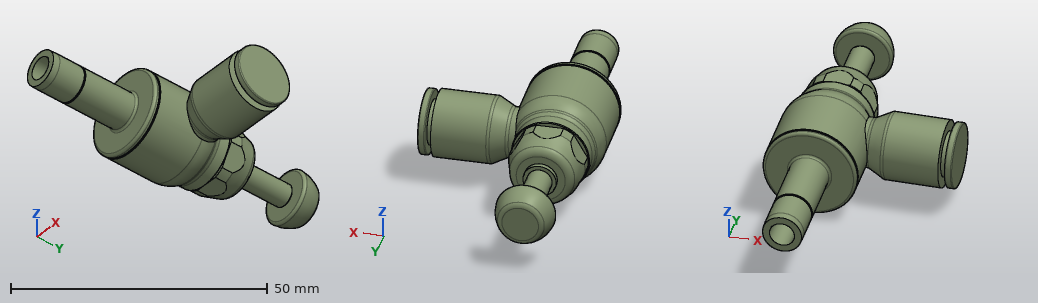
import cadquery as cq
import math


overall_width = 36.4

stem_radius = 4.0
tip_radius = 3.95
tip_length = 1.55
stem_groove_y = 7.95
groove_width = 0.3
groove_depth = 0.15
bore_radius = 2.5
drill_point_angle = 118

body_bottom_y = 21.35
body_diameter = 19.0
body_radius = body_diameter / 2
root_fillet = 0.5
rim_fillet = 0.6
rim_groove_y = 22.5
branch_y = 34.55
shoulder_radius = 7.15
shoulder_height = 3.7
shoulder_slope_length = 0.5
neck_radius = 7.8
neck_start_y = 39.65
neck_top_y = 42.1
neck_chamfer = 0.17

nut_bottom_y = 42.5
nut_top_y = 50.3
nut_diameter = 15.3
nut_radius = nut_diameter / 2
nut_across_flats = 14.3
nut_cone_start_y = 45.15
nut_cone_end_y = 49.1
nut_cone_end_radius = 6.5
nut_face_radius = 4.9
collar_radius = 3.3
collar_top_y = 51.35

rod_radius = 2.5
rod_chamfer = 0.3
knob_bottom_y = 62.6
knob_top_y = 68.0
knob_diameter = 12.05
knob_radius = knob_diameter / 2
knob_fillet = 0.6
knob_bulge_radius = 5.6
knob_bulge_y = 65.6
knob_crown_radius = 4.7
knob_crown_y = 67.4
knob_face_radius = 3.7

branch_neck_radius = 4.95
branch_neck_x = 9.05
branch_cone_start = (9.65, 5.2)
branch_cone_end = (12.5, 6.65)
branch_diameter = 13.5
branch_radius = branch_diameter / 2
branch_full_x = 13.1
branch_end_x = 24.2
sleeve_radius = 4.55
flange_start_x = 25.4
flange_end_x = overall_width - body_radius
flange_diameter = 13.1
flange_radius = flange_diameter / 2
flange_fillet = 0.2


def revolve_y(profile):
    """Close an (X = radius, Y) profile and turn it round the Y axis."""
    return profile.close().revolve(360, (0, 0, 0), (0, 1, 0))


def disc_y(radius, start_y, end_y):
    """Cylinder on the Y axis."""
    profile = (
        cq.Workplane("XY")
        .moveTo(0, start_y)
        .lineTo(radius, start_y)
        .lineTo(radius, end_y)
        .lineTo(0, end_y)
    )
    return revolve_y(profile)


def ring_groove(outer_radius, start_y):
    """Cutter for a shallow square groove round a cylinder on the Y axis."""
    end_y = start_y + groove_width
    core = disc_y(outer_radius - groove_depth, start_y, end_y)
    return disc_y(outer_radius + groove_depth, start_y, end_y).cut(core)


def make_stem():
    root_y = body_bottom_y - root_fillet
    profile = (
        cq.Workplane("XY")
        .lineTo(tip_radius, 0)
        .lineTo(stem_radius, tip_length)
        .lineTo(stem_radius, root_y)
        .tangentArcPoint((stem_radius + root_fillet, body_bottom_y), relative=False)
        .lineTo(0, body_bottom_y)
    )
    return revolve_y(profile).cut(ring_groove(stem_radius, stem_groove_y))


def make_body():
    shoulder_angle = math.asin(shoulder_height / shoulder_radius)
    shoulder_end_radius = body_radius - shoulder_radius * (1 - math.cos(shoulder_angle))
    shoulder_end_y = branch_y + shoulder_height
    slope_end_radius = shoulder_end_radius - shoulder_slope_length * math.sin(shoulder_angle)
    slope_end_y = shoulder_end_y + shoulder_slope_length * math.cos(shoulder_angle)
    profile = (
        cq.Workplane("XY")
        .moveTo(0, body_bottom_y)
        .lineTo(body_radius - rim_fillet, body_bottom_y)
        .tangentArcPoint((body_radius, body_bottom_y + rim_fillet), relative=False)
        .lineTo(body_radius, branch_y)
        .tangentArcPoint((shoulder_end_radius, shoulder_end_y), relative=False)
        .lineTo(slope_end_radius, slope_end_y)
        .tangentArcPoint((neck_radius, neck_start_y), relative=False)
        .lineTo(neck_radius, neck_top_y - neck_chamfer)
        .lineTo(neck_radius - neck_chamfer, neck_top_y)
        .lineTo(0, neck_top_y)
    )
    return revolve_y(profile).cut(ring_groove(body_radius, rim_groove_y))


def make_nut():
    profile = (
        cq.Workplane("XY")
        .moveTo(0, nut_bottom_y)
        .lineTo(nut_radius, nut_bottom_y)
        .lineTo(nut_radius, nut_cone_start_y)
        .lineTo(nut_cone_end_radius, nut_cone_end_y)
        .tangentArcPoint((nut_face_radius, nut_top_y), relative=False)
        .lineTo(0, nut_top_y)
    )
    hexagon = (
        cq.Workplane("XZ", origin=(0, nut_bottom_y, 0))
        .polygon(6, nut_across_flats / math.cos(math.pi / 6))
        .extrude(nut_bottom_y - nut_top_y)
    )
    return revolve_y(profile).intersect(hexagon)


def make_rod():
    profile = (
        cq.Workplane("XY")
        .moveTo(0, branch_y)
        .lineTo(rod_radius, branch_y)
        .lineTo(rod_radius, knob_bottom_y - rod_chamfer)
        .lineTo(rod_radius - rod_chamfer, knob_bottom_y)
        .lineTo(0, knob_bottom_y)
    )
    return revolve_y(profile).union(disc_y(collar_radius, nut_top_y, collar_top_y))


def make_knob():
    profile = (
        cq.Workplane("XY")
        .moveTo(0, knob_bottom_y)
        .lineTo(knob_radius - knob_fillet, knob_bottom_y)
        .tangentArcPoint((knob_radius, knob_bottom_y + knob_fillet), relative=False)
        .threePointArc((knob_bulge_radius, knob_bulge_y), (knob_crown_radius, knob_crown_y))
        .tangentArcPoint((knob_face_radius, knob_top_y), relative=False)
        .lineTo(0, knob_top_y)
    )
    return revolve_y(profile)


def make_branch():
    profile = (
        cq.Workplane("XY", origin=(0, branch_y, 0))
        .lineTo(0, branch_neck_radius)
        .lineTo(branch_neck_x, branch_neck_radius)
        .tangentArcPoint(branch_cone_start, relative=False)
        .lineTo(*branch_cone_end)
        .tangentArcPoint((branch_full_x, branch_radius), relative=False)
        .lineTo(branch_end_x, branch_radius)
        .lineTo(branch_end_x, sleeve_radius)
        .lineTo(flange_start_x, sleeve_radius)
        .lineTo(flange_start_x, flange_radius - flange_fillet)
        .tangentArcPoint((flange_start_x + flange_fillet, flange_radius), relative=False)
        .lineTo(flange_end_x - flange_fillet, flange_radius)
        .tangentArcPoint((flange_end_x, flange_radius - flange_fillet), relative=False)
        .lineTo(flange_end_x, 0)
        .close()
    )
    return profile.revolve(360, (0, 0, 0), (1, 0, 0))


def make_bore():
    """Blind drilled hole up the stem, ending in a drill point."""
    point_depth = bore_radius / math.tan(math.radians(drill_point_angle / 2))
    profile = (
        cq.Workplane("XY")
        .lineTo(bore_radius, 0)
        .lineTo(bore_radius, body_bottom_y)
        .lineTo(0, body_bottom_y + point_depth)
    )
    return revolve_y(profile)


result = make_body()
for piece in (make_stem(), make_branch(), make_rod(), make_nut(), make_knob()):
    result = result.union(piece)
result = result.cut(make_bore())